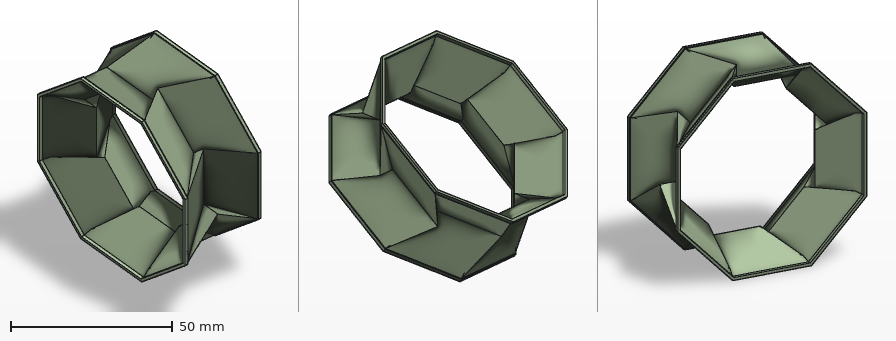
import cadquery as cq
import math

across_flats = 66.8
length = 32.4
sides = 8

rim_length = 1.2
rim_wall = 1.0
rim_step = 0.35

waist_apothem = 24.6
waist_notch = -3.8
waist_wall = 0.75

rim_apothem = across_flats / 2
bore_apothem = rim_apothem - rim_wall
fold_apothem = rim_apothem - rim_step
waist_y = length / 2
turn = 2 * math.pi / sides


def half_side(apothem):
    """Half the side length of a regular polygon."""
    return apothem * math.tan(turn / 2)


def point_on_side(side, apothem, along, y):
    """Point at a signed distance from the middle of one side, counted from +X towards +Z."""
    angle = side * turn
    x = apothem * math.cos(angle) - along * math.sin(angle)
    z = apothem * math.sin(angle) + along * math.cos(angle)
    return cq.Vector(x, y, z)


def corners(apothem, y):
    """Start corner of every side of a regular octagon."""
    return [point_on_side(side, apothem, -half_side(apothem), y) for side in range(sides)]


def waist_points(apothem, notch):
    """Notches and tips of the saw-tooth waist; each tooth's short edge is square to the next side."""
    half = half_side(apothem)
    tip = half + (notch + half) / math.cos(turn)
    notches = [point_on_side(side, apothem, notch, waist_y) for side in range(sides)]
    tips = [point_on_side(side, apothem, tip, waist_y) for side in range(sides)]
    return notches, tips


def face(points):
    return cq.Face.makeFromWires(cq.Wire.makePolygon(points, close=True))


def folded_body(end_apothem, mid_apothem, notch, tooth_fraction=0):
    """Solid between the rims: a flat panel per side and a triangular gusset per corner, at each end.

    The corners stay plain over tooth_fraction of the way to the waist, then split into teeth.
    """
    notches, tips = waist_points(mid_apothem, notch)
    faces = []
    for end_y in (rim_length, length - rim_length):
        ends = corners(end_apothem, end_y)
        splits = corners(
            end_apothem + tooth_fraction * (mid_apothem - end_apothem),
            end_y + tooth_fraction * (waist_y - end_y),
        )
        faces.append(face(ends))
        for side in range(sides):
            following = (side + 1) % sides
            panel = [splits[following], tips[side], notches[side], splits[side]]
            if tooth_fraction > 0:
                panel += [ends[side], ends[following]]
            faces.append(face(panel))
            faces.append(face([splits[following], notches[following], tips[side]]))
    return cq.Workplane(cq.Solid.makeSolid(cq.Shell.makeShell(faces)))


def octagon_prism(apothem, start_y):
    """Prism as long as one rim."""
    outline = cq.Wire.makePolygon(corners(apothem, start_y), close=True)
    return cq.Workplane(cq.Solid.extrudeLinear(outline, [], cq.Vector(0, rim_length, 0)))


inner_apothem = waist_apothem - waist_wall
inner_notch = waist_notch - waist_wall
rim_overlap = half_side(fold_apothem) + waist_wall - half_side(bore_apothem)
waist_reach = inner_notch + half_side(inner_apothem)
inner_tooth_fraction = rim_overlap / (rim_overlap + waist_reach)

outside = folded_body(fold_apothem, waist_apothem, waist_notch)
inside = folded_body(bore_apothem, inner_apothem, inner_notch, inner_tooth_fraction)

for rim_y in (0, length - rim_length):
    outside = outside.union(octagon_prism(rim_apothem, rim_y))
    inside = inside.union(octagon_prism(bore_apothem, rim_y))

result = outside.cut(inside)